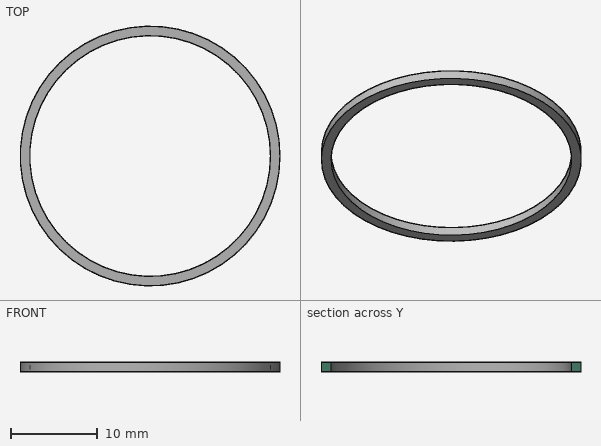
import cadquery as cq

outer_diameter = 30.02
inner_diameter = 27.77
height = 1.15

result = (
    cq.Workplane("XY")
    .circle(outer_diameter / 2)
    .circle(inner_diameter / 2)
    .extrude(height)
)